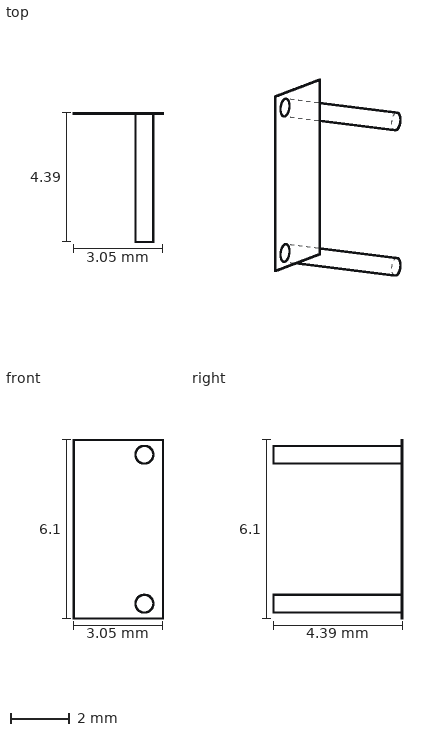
import cadquery as cq

plate_width = 3.048
plate_height = 6.096
plate_thickness = 0.0254

overall_depth = 4.3942
pin_diameter = 0.6096
pin_spacing = 5.08
pin_edge_distance = 0.635

pin_length = overall_depth - plate_thickness
pin_x = plate_width / 2 - pin_edge_distance


def make_plate():
    """Thin plate with its -Y face on the plane Y = 0."""
    return cq.Workplane("XY").box(
        plate_width, plate_thickness, plate_height, centered=(True, False, True)
    )


def add_pins(body):
    """Two round pins, one above the other, extending toward -Y."""
    pins = (
        cq.Workplane("XZ")
        .pushPoints([(pin_x, side * pin_spacing / 2) for side in (-1, 1)])
        .circle(pin_diameter / 2)
        .extrude(pin_length)
    )
    return body.union(pins)


result = add_pins(make_plate())